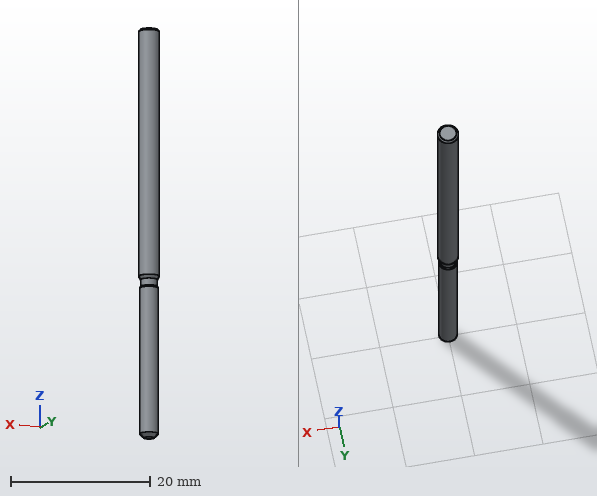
import cadquery as cq

total_length = 60.0
shank_diameter = 3.0
pin_diameter = 2.7
neck_diameter = 2.4

pin_shoulder_height = 22.0
joint_height = 23.25

shank_top_bevel = 0.3
shank_bottom_bevel_height = 0.5
pin_top_bevel_height = 0.25
tip_bevel = 0.6

shank_radius = shank_diameter / 2
pin_radius = pin_diameter / 2
neck_radius = neck_diameter / 2


def turned_body(profile):
    """Revolve a closed outline of (radius, height) points about the Z axis."""
    return cq.Workplane("XZ").polyline(profile).close().revolve(360, (0, 0), (0, 1))


def make_shank():
    """Upper cylinder with a bevel at each end; its bottom face is as wide as the neck."""
    return turned_body([
        (0, joint_height),
        (neck_radius, joint_height),
        (shank_radius, joint_height + shank_bottom_bevel_height),
        (shank_radius, total_length - shank_top_bevel),
        (shank_radius - shank_top_bevel, total_length),
        (0, total_length),
    ])


def make_pin():
    """Lower cylinder with a bevelled tip and a narrower neck that meets the shank."""
    return turned_body([
        (0, 0),
        (pin_radius - tip_bevel, 0),
        (pin_radius, tip_bevel),
        (pin_radius, pin_shoulder_height),
        (neck_radius, pin_shoulder_height + pin_top_bevel_height),
        (neck_radius, joint_height),
        (0, joint_height),
    ])


shank = make_shank()
pin = make_pin()

result = cq.Compound.makeCompound([shank.val(), pin.val()])